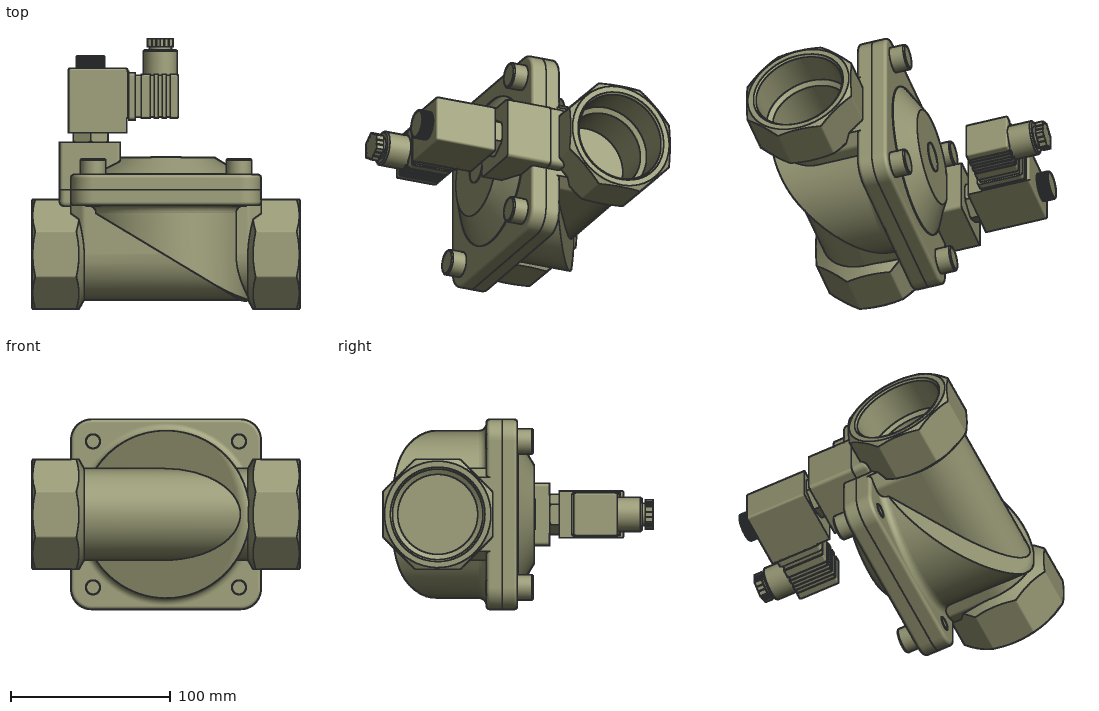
import cadquery as cq
import math


face_to_face = 168.0
port_end = face_to_face / 2
port_flats = 68.7
port_corner_round = 1.7
port_inner_end = 54.5
port_face_radius = 33.3
bevel_angle = 30
thread_diameter = 56.7
thread_depth = 22.7
mouth_diameter = 59.2
passage_diameter = 50.0
thread_end_slope = 2.0
passage_depth = 50.7

tube_radius = 28.8
bowl_radius = 52.5
floor_slope = 31
floor_offset = 0.8
floor_round = 7.6
floor_flat_radius = 58.4
floor_shift = -5
web_half_length = 51.8
lug_half_width = 23.2
lug_blend = 4.2

flange_width = 119.0
flange_bottom = 30.5
flange_top = 49.9
joint_level = 40.3
flange_corner = 13.0
flange_round = 2.2
bowl_blend = 4.5

dome_top = 60.5
dome_base_radius = 47.7
dome_base_step = 0.5
dome_top_radius = 30.5
dome_pad_diameter = 18.6
dome_pad_height = 0.5
screw_spacing = 91.3
screw_head_diameter = 16.0
screw_head_top = 59.7
screw_head_bevel = 0.8
screw_shank_diameter = 9.1
screw_tip_height = 0.3
screw_tip_bevel = 0.3

pilot_left = -66.6
pilot_length = 38.0
pilot_width = 39.0
pilot_top = 70.0
pilot_round = 2.2
pilot_foot_width = 39.2
pilot_foot_bottom = 29.1
pilot_foot_round = 3.4
armature_x = -47.2
hexagon_flats = 22
hexagon_bevel = 0.7

coil_bottom = 76.0
coil_top = 116.4
coil_left = -61.0
coil_right = -24.0
coil_relief = 0.5
coil_width = 29.5
coil_round = 1.4
pad_thickness = 0.7
pad_bottom = 85.0
pad_top = 114.3
pad_width = 27
cap_diameter = 18.0
cap_top = 124.0
cap_teeth = 72
cap_tooth_depth = 0.5
cap_bevel = 0.7

plate_thickness = 4.2
plate_bottom = 83.9
plate_top = 113.5
plate_width = 27.7
plate_round = 2.0
plug_middle = 98.8
neck_right = -15.5
neck_height = 26.4
neck_width = 24.4
plug_right = 7.8
plug_height = 27.4
plug_width = 26.7
plug_round = 1.2
groove_width = 2.5
groove_depth = 0.7
groove_count = 3
groove_pitch = 5
first_groove_x = -8.6
gland_x = -3.5
gland_diameter = 21.5
gland_top = 127.9
gland_bevel = 1.0
gland_neck_diameter = 14.0
gland_neck_top = 129.9
gland_nut_flats = 16.0
grip_slot_width = 0.3
grip_slot_depth = 0.5
overall_length = 169.2


def box(x0, x1, y0, y1, width):
    """Box spanning x0..x1 and y0..y1, centred on Z = 0."""
    return cq.Workplane("XY").box(x1 - x0, y1 - y0, width).translate(((x0 + x1) / 2, (y0 + y1) / 2, 0))


def level(y):
    """Sketch plane facing +Y at height y, with local axes X and -Z."""
    return cq.Workplane(cq.Plane(origin=(0, y, 0), xDir=(1, 0, 0), normal=(0, 1, 0)))


def post(x, z, diameter, y0, y1):
    """Round post along Y."""
    return level(y0).center(x, -z).circle(diameter / 2).extrude(y1 - y0)


def revolve_on_x(points):
    """Solid of revolution about X from (x, radius) points."""
    return cq.Workplane("XY").polyline(points).close().revolve(360, (0, 0, 0), (1, 0, 0))


def polygon_prism(sides, flats, x, y0, y1):
    """Regular prism along Y with one pair of flats facing -X and +X."""
    corner_diameter = flats / math.cos(math.pi / sides)
    prism = level(y0).polygon(sides, corner_diameter).extrude(y1 - y0)
    return prism.rotate((0, 0, 0), (0, 1, 0), 180 / sides).translate((x, 0, 0))


def port():
    """Octagonal inlet port with both ends bevelled as on a nut."""
    slope = math.tan(math.radians(bevel_angle))
    corner_radius = port_flats / 2 / math.cos(math.pi / 8)
    inner_start = port_inner_end - (port_flats / 2 - tube_radius) * slope
    length = port_end - inner_start
    octagon = (
        cq.Workplane("YZ").workplane(offset=-port_end)
        .polygon(8, 2 * corner_radius).extrude(length)
        .rotate((0, 0, 0), (1, 0, 0), 180 / 8)
        .edges("|X").fillet(port_corner_round)
    )
    envelope = revolve_on_x([
        (-port_end, 0),
        (-port_end, port_face_radius),
        (-port_end + (corner_radius - port_face_radius) * slope, corner_radius),
        (-inner_start - (corner_radius - tube_radius) * slope, corner_radius),
        (-inner_start, tube_radius),
        (-inner_start, 0),
    ])
    return octagon.intersect(envelope)


def port_bore():
    """Stepped blind bore of the inlet port, with a bevelled mouth."""
    mouth_bevel = (mouth_diameter - thread_diameter) / 2
    return revolve_on_x([
        (-port_end, 0),
        (-port_end, mouth_diameter / 2),
        (-port_end + mouth_bevel, thread_diameter / 2),
        (-port_end + thread_depth, thread_diameter / 2),
        (-port_end + thread_depth + thread_end_slope, passage_diameter / 2),
        (-port_end + passage_depth, passage_diameter / 2),
        (-port_end + passage_depth, 0),
    ])


def bowl():
    """Cylinder along Y closed by a sloping floor with a rounded rim."""
    floor_space_height = 3 * bowl_radius
    barrel = post(0, 0, 2 * bowl_radius, -bowl_radius, flange_bottom)
    floor_space = (
        level(-floor_offset).center(floor_shift, 0)
        .circle(floor_flat_radius + floor_round).extrude(floor_space_height)
        .faces("<Y").edges().fillet(floor_round)
        .rotate((0, -floor_offset, 0), (0, -floor_offset, 1), -floor_slope)
    )
    return barrel.intersect(floor_space)


def bowl_rim():
    """Concave blend between the bowl and the underside of the flange."""
    return (
        cq.Workplane("XY")
        .moveTo(0, flange_bottom)
        .lineTo(bowl_radius + bowl_blend, flange_bottom)
        .radiusArc((bowl_radius, flange_bottom - bowl_blend), -bowl_blend)
        .lineTo(0, flange_bottom - bowl_blend)
        .close()
        .revolve(360, (0, 0, 0), (0, 1, 0))
    )


def web():
    """Block that joins the tube to the flange, with bevelled ends as wide as the flange."""
    half = flange_width / 2
    outline = [
        (-web_half_length, tube_radius),
        (web_half_length, tube_radius),
        (half, lug_half_width),
        (half, -lug_half_width),
        (web_half_length, -tube_radius),
        (-web_half_length, -tube_radius),
        (-half, -lug_half_width),
        (-half, lug_half_width),
    ]
    block = level(0).polyline(outline).close().extrude(joint_level)
    shoulders = block.edges("|Y and (>Z or <Z)")
    return shoulders.fillet(lug_blend)


def flange(y0, y1, rounded_side):
    """Square flange plate with round corners and one rounded rim."""
    plate = level(y0).rect(flange_width, flange_width).extrude(y1 - y0)
    return plate.edges("|Y").fillet(flange_corner).faces(rounded_side).edges().fillet(flange_round)


def dome():
    """Conical top of the bonnet with a low round pad."""
    cone = (
        cq.Workplane("XY")
        .polyline([
            (0, flange_top),
            (dome_base_radius, flange_top),
            (dome_base_radius, flange_top + dome_base_step),
            (dome_top_radius, dome_top),
            (0, dome_top),
        ])
        .close()
        .revolve(360, (0, 0, 0), (0, 1, 0))
    )
    return cone.union(post(0, 0, dome_pad_diameter, dome_top, dome_top + dome_pad_height))


def screw_places():
    """X and Z of the four screws."""
    half = screw_spacing / 2
    return [(x, z) for x in (-half, half) for z in (-half, half)]


def screw_head(x, z):
    head = post(x, z, screw_head_diameter, flange_top, screw_head_top)
    return head.faces(">Y").edges().chamfer(screw_head_bevel)


def screw_shank(x, z):
    """Shank below the joint, with a bevelled tip just outside the lower flange."""
    shank = post(x, z, screw_shank_diameter, flange_bottom - screw_tip_height, joint_level)
    return shank.faces("<Y").edges().chamfer(screw_tip_bevel)


def hexagon():
    """Armature hexagon with its lower corners bevelled."""
    prism = polygon_prism(6, hexagon_flats, armature_x, pilot_top, coil_bottom)
    corner_diameter = hexagon_flats / math.cos(math.pi / 6)
    envelope = post(armature_x, 0, corner_diameter, pilot_top, coil_bottom)
    return prism.intersect(envelope.faces("<Y").edges().chamfer(hexagon_bevel))


def pilot():
    """Pilot block on the bonnet with the hexagon that carries the coil."""
    block = box(pilot_left, pilot_left + pilot_length, joint_level, pilot_top, pilot_width)
    block = block.edges("|Y").fillet(pilot_round)
    return block.union(hexagon())


def pilot_foot():
    """Part of the housing below the pilot block."""
    foot = box(pilot_left, pilot_left + pilot_length, pilot_foot_bottom, joint_level, pilot_foot_width)
    foot = foot.edges("|Y and <X").fillet(pilot_foot_round)
    return foot.faces("<Y").edges("<X").fillet(pilot_foot_round)


def make_housing():
    housing = cq.Workplane("YZ").circle(tube_radius).extrude(port_inner_end, both=True)
    housing = housing.union(web()).union(bowl()).union(bowl_rim()).union(pilot_foot())
    housing = housing.union(flange(flange_bottom, joint_level, "<Y"))
    inlet = port()
    housing = housing.union(inlet).union(inlet.mirror("YZ"))
    bore = port_bore()
    housing = housing.cut(bore).cut(bore.mirror("YZ"))
    for x, z in screw_places():
        housing = housing.cut(post(x, z, screw_shank_diameter, flange_bottom, joint_level))
    return housing


def make_bonnet():
    bonnet = flange(joint_level, flange_top, ">Y").union(dome()).union(pilot())
    for x, z in screw_places():
        bonnet = bonnet.union(screw_head(x, z)).union(screw_shank(x, z))
    return bonnet


def knurled_cap():
    """Coil nut with fine straight teeth."""
    outline = []
    for step in range(2 * cap_teeth):
        radius = cap_diameter / 2 - cap_tooth_depth * (step % 2)
        angle = math.pi * step / cap_teeth
        outline.append((armature_x + radius * math.cos(angle), radius * math.sin(angle)))
    teeth = level(coil_top).polyline(outline).close().extrude(cap_top - coil_top)
    envelope = post(armature_x, 0, cap_diameter, coil_top, cap_top).faces(">Y").edges().chamfer(cap_bevel)
    return teeth.intersect(envelope)


def coil():
    block = box(coil_left, coil_right, coil_bottom, coil_top, coil_width)
    block = block.edges(">Y or (<X and |Y)").fillet(coil_round)
    pad = box(coil_right, coil_right + pad_thickness, pad_bottom, pad_top, pad_width)
    relief = box(coil_right - coil_relief, coil_right, coil_bottom, pad_bottom, coil_width)
    return block.cut(relief).union(pad).union(knurled_cap())


def gland_nut():
    """Hexagonal gland nut with two grip slots dividing each flat into thirds."""
    nut_top = overall_length - port_flats / 2
    nut = polygon_prism(6, gland_nut_flats, gland_x, gland_neck_top, nut_top)
    flat_length = gland_nut_flats * math.tan(math.pi / 6)
    outer = gland_x + gland_nut_flats / 2
    for flat in range(6):
        for side in (-1, 1):
            slot = box(outer - grip_slot_depth, outer, gland_neck_top, nut_top, grip_slot_width)
            slot = slot.translate((0, 0, side * flat_length / 6))
            nut = nut.cut(slot.rotate((gland_x, 0, 0), (gland_x, 1, 0), 60 * flat))
    return nut


def cable_plug():
    plate_left = coil_right + pad_thickness
    plate_right = plate_left + plate_thickness
    plug = box(plate_left, plate_right, plate_bottom, plate_top, plate_width).edges("|X").fillet(plate_round)
    neck_low = plug_middle - neck_height / 2
    neck = box(plate_right, neck_right, neck_low, neck_low + neck_height, neck_width)
    plug = plug.union(neck.edges("|X").fillet(plug_round))
    low = plug_middle - plug_height / 2
    high = low + plug_height
    body = box(neck_right, plug_right, low, high, plug_width).edges("|X or >X").fillet(plug_round)
    for index in range(groove_count):
        left = first_groove_x + index * groove_pitch - groove_width / 2
        right = left + groove_width
        ring = box(left, right, low, high, plug_width)
        core = box(left, right, low + groove_depth, high - groove_depth, plug_width - 2 * groove_depth)
        body = body.cut(ring.cut(core))
    gland = post(gland_x, 0, gland_diameter, plug_middle, gland_top).faces(">Y").edges().chamfer(gland_bevel)
    gland_neck = post(gland_x, 0, gland_neck_diameter, gland_top, gland_neck_top)
    return plug.union(body).union(gland).union(gland_neck).union(gland_nut())


def make_solenoid():
    return coil().union(cable_plug())


housing = make_housing()
bonnet = make_bonnet()
solenoid = make_solenoid()

result = cq.Compound.makeCompound([housing.val(), bonnet.val(), solenoid.val()])